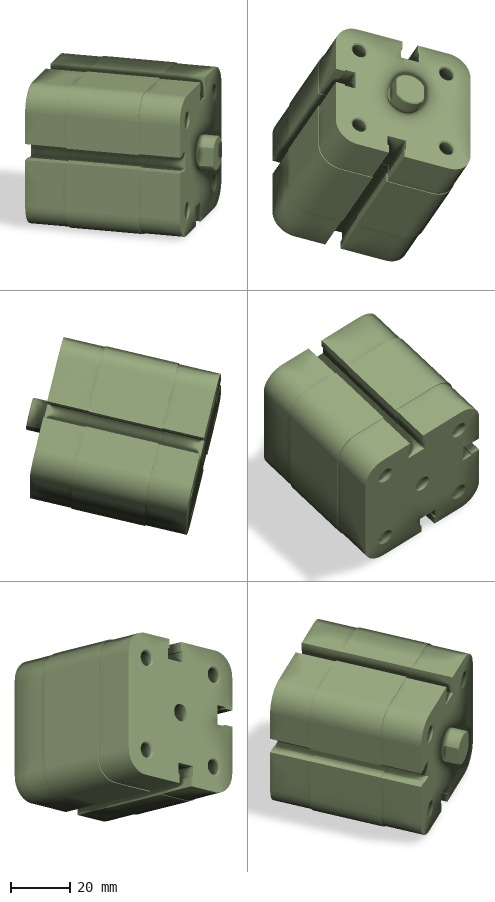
import cadquery as cq


total_length = 60.5
cap_length = 14.5
rod_length = 6.0
barrel_length = total_length - rod_length - 2 * cap_length
barrel_start = cap_length
front_cap_start = barrel_start + barrel_length
front_face = front_cap_start + cap_length

barrel_width = 50.0
corner_radius = 8.0
cap_inset = 0.25

slot_offset = 2.5
slot_mouth_width = 5.2
slot_base_width = 6.3
slot_depth = 7.1
slot_lip = 3.75
slot_turns = (0, 90, 180)

hole_spacing = 32.05
hole_diameter = 5.1
hole_mouth_diameter = 6.0
hole_chamfer = (hole_mouth_diameter - hole_diameter) / 2

centre_bore_diameter = 6.0

rod_diameter = 12.0
rod_flat_width = 10.0
rod_flat_start = 0.85
rod_flat_run_out = 0.5
rod_chamfer = 0.35


def x_plane(x):
    """Sketch plane across the X axis, local x along +Y and local y along +Z."""
    return cq.Workplane("YZ", origin=(x, 0, 0))


def slot_cutter(start, length, inset):
    """T-slot open to +Z, enlarged on every face by the inset."""
    mouth = slot_mouth_width / 2 + inset
    base = slot_base_width / 2 + inset
    top = barrel_width / 2
    lip_level = top - slot_lip + inset
    floor_level = top - slot_depth - inset
    return (
        x_plane(start)
        .center(slot_offset, 0)
        .polyline([
            (-mouth, top),
            (-mouth, lip_level),
            (-base, lip_level),
            (-base, floor_level),
            (base, floor_level),
            (base, lip_level),
            (mouth, lip_level),
            (mouth, top),
        ])
        .close()
        .extrude(length)
    )


def slotted_block(start, length, inset=0.0):
    """Rounded square block with three T-slots and four through holes."""
    width = barrel_width - 2 * inset
    block = x_plane(start).rect(width, width).extrude(length).edges("|X").fillet(corner_radius)
    slot = slot_cutter(start, length, inset)
    for turn in slot_turns:
        block = block.cut(slot.rotate((0, 0, 0), (1, 0, 0), turn))
    holes = (
        x_plane(start)
        .rect(hole_spacing, hole_spacing, forConstruction=True)
        .vertices()
        .circle(hole_diameter / 2)
        .extrude(length)
    )
    return block.cut(holes)


def end_cap(start, outer_side):
    """End cap whose holes are chamfered on the outer side ("<X" or ">X")."""
    cap = slotted_block(start, cap_length, cap_inset)
    hole_rims = cq.selectors.RadiusNthSelector(0)
    return (
        cap.faces(outer_side)
        .edges("%CIRCLE")
        .edges(hole_rims)
        .chamfer(hole_chamfer)
    )


def bored_rear_cap():
    """Rear end cap with a plain centre bore through it, closed behind by the barrel."""
    bore = x_plane(0).circle(centre_bore_diameter / 2).extrude(cap_length)
    return end_cap(0, "<X").cut(bore)


def piston_rod():
    """Round rod with an end chamfer and two wrench flats facing -Y and +Y."""
    rod = (
        x_plane(front_face)
        .circle(rod_diameter / 2)
        .extrude(rod_length)
        .faces(">X")
        .chamfer(rod_chamfer)
    )
    flat_start = front_face + rod_flat_start
    flat_cutter = (
        cq.Workplane("XY", origin=(0, 0, -rod_diameter / 2))
        .polyline([
            (flat_start, rod_flat_width / 2),
            (total_length, rod_flat_width / 2),
            (total_length, rod_diameter / 2),
            (flat_start - rod_flat_run_out, rod_diameter / 2),
        ])
        .close()
        .extrude(rod_diameter)
    )
    return rod.cut(flat_cutter).cut(flat_cutter.mirror("XZ"))


rear_cap = bored_rear_cap()
barrel = slotted_block(barrel_start, barrel_length)
front_cap = end_cap(front_cap_start, ">X")
rod = piston_rod()

result = cq.Compound.makeCompound([
    rear_cap.val(),
    barrel.val(),
    front_cap.val(),
    rod.val(),
])